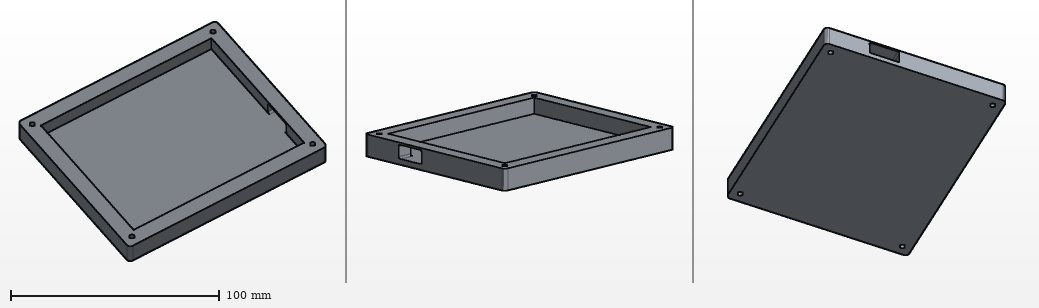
import cadquery as cq

width = 95.7
length = 114.8
height = 11.0
corner_radius = 2.1

wall = 8.0
floor = 3.0

hole_diameter = 2.5
hole_inset = 5.0

window_width = 15.7
window_height = 7.0
window_radius = 1.0
window_corner_offset = 15.3

pocket_width = width - 2 * wall
pocket_length = length - 2 * wall


def make_body():
    body = cq.Workplane("XY").box(width, length, height, centered=(True, True, False))
    return body.edges("|Z").fillet(corner_radius)


def make_pocket():
    pocket = cq.Workplane("XY").workplane(offset=floor)
    return pocket.rect(pocket_width, pocket_length).extrude(height - floor)


def make_screw_holes():
    centers = cq.Workplane("XY").rect(
        width - 2 * hole_inset, length - 2 * hole_inset, forConstruction=True
    )
    return centers.vertices().circle(hole_diameter / 2).extrude(height)


def make_window():
    center_x = pocket_width / 2 - window_corner_offset - window_width / 2
    center_y = (pocket_length + wall) / 2
    window = cq.Workplane("XY").box(
        window_width, wall, window_height, centered=(True, True, False)
    )
    window = window.edges("|Y").fillet(window_radius)
    return window.translate((center_x, center_y, floor))


result = make_body().cut(make_pocket()).cut(make_screw_holes()).cut(make_window())